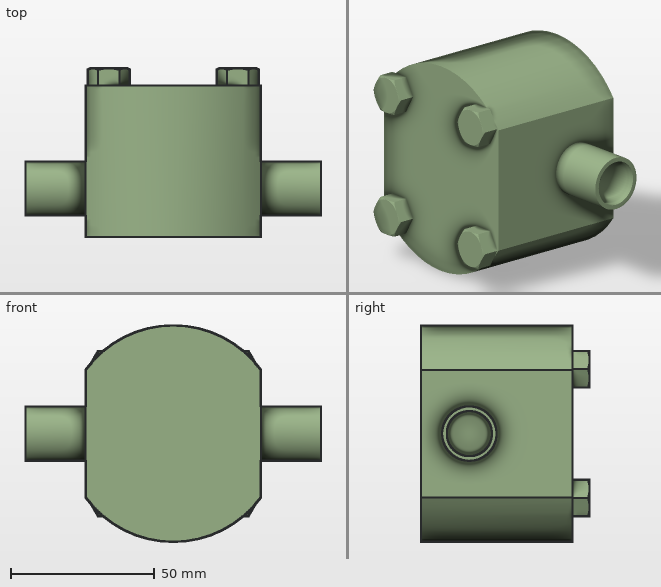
import cadquery as cq
import math

overall_length = 103.2
body_diameter = 75.6
body_width = 61.2
body_depth = 52.9

pipe_diameter = 19.0
bore_diameter = 15.8
bore_depth = 16.0
pipe_y = 16.9

bolt_offset = 22.5
head_across_flats = 12.8
head_across_corners = head_across_flats / math.cos(math.radians(30))
head_height = 6.0
head_chamfer_height = 0.5
head_chamfer_width = (head_across_corners - head_across_flats) / 2


def make_body():
    cylinder = cq.Workplane("XZ").circle(body_diameter / 2).extrude(-body_depth)
    flats = cq.Workplane("XY").box(body_width, 2 * body_depth, body_diameter)
    return cylinder.intersect(flats)


def make_pipe():
    return (
        cq.Workplane("YZ", origin=(-overall_length / 2, pipe_y, 0))
        .circle(pipe_diameter / 2)
        .extrude(overall_length)
    )


def make_end_bore(side):
    return (
        cq.Workplane("YZ", origin=(side * overall_length / 2, pipe_y, 0))
        .circle(bore_diameter / 2)
        .extrude(-side * bore_depth)
    )


def make_bolt_head(x, z):
    base = cq.Workplane("XZ", origin=(x, body_depth, z))
    hexagon = base.polygon(6, head_across_corners).extrude(-head_height)
    turned_blank = (
        base.circle(head_across_corners / 2)
        .extrude(-head_height)
        .faces(">Y")
        .chamfer(head_chamfer_height, head_chamfer_width)
    )
    return hexagon.intersect(turned_blank)


result = make_body().union(make_pipe())
for side in (-1, 1):
    result = result.cut(make_end_bore(side))
for x_side in (-1, 1):
    for z_side in (-1, 1):
        result = result.union(make_bolt_head(x_side * bolt_offset, z_side * bolt_offset))